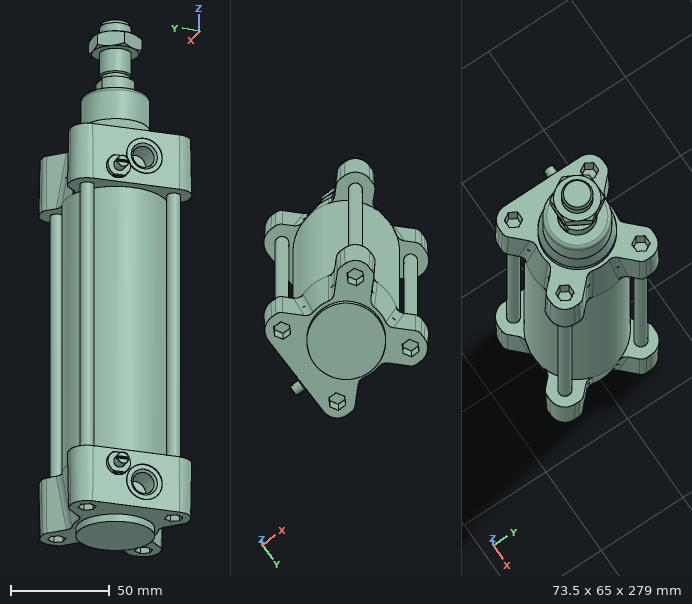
import cadquery as cq
import math

pilot_height = 4.0
cap_height = 30.0
length_over_caps = 206.0
rod_reach = 37.0
thread_length = 32.0

lower_face = pilot_height
upper_face = lower_face + length_over_caps
rod_shoulder = upper_face + rod_reach
rod_top = rod_shoulder + thread_length
mid_height = (lower_face + upper_face) / 2

cap_width = 65.0
cap_draft = 1.0
half_width = cap_width / 2
bolt_spacing = 46.5
bolt_offset = bolt_spacing / 2
corner_radius = half_width - bolt_offset
arm_wall_offset = 14.0
arm_edge_radius = 5.0
waist_fillet_radius = 5.0
tube_diameter = 54.0
waist_outer_diameter = 44.0
socket_width = 8.0
socket_depth = 12.0
socket_corner_diameter = socket_width / math.cos(math.pi / 6)
pilot_diameter = 40.0

tie_rod_diameter = 7.1

port_height = 14.0
port_offset = -4.5
port_recess_diameter = 19.0
port_recess_depth = 0.7
port_mouth_diameter = 14.0
port_diameter = 11.4
port_chamfer = (port_mouth_diameter - port_diameter) / 2
port_depth = 15.0
screw_height = 22.0
screw_offset = 10.0
collar_diameter = 12.0
collar_length = 2.5
collar_flats_width = 10.5
collar_flats_length = 1.7
screw_diameter = 6.0
screw_length = 8.5
slot_width = 1.2
slot_depth = 1.5
side_overlap = 1.0

bush_diameter = 35.0
bush_height = 28.5
bush_edge_radius = 2.0
bush_base_height = 4.0
bush_cone_height = 6.8

rod_diameter = 20.0
thread_diameter = 16.0
thread_chamfer = 1.0
thread_chamfer_height = 2.0
undercut_diameter = 14.5
undercut_height = 3.0
undercut_chamfer = (thread_diameter - undercut_diameter) / 2
flats_width = 17.6
flats_height = 7.0

nut_width = 24.0
nut_height = 8.0
nut_bottom = 263.0
nut_corner_diameter = nut_width / math.cos(math.pi / 6)
nut_chamfer_diameter = 24.0
nut_chamfer_width = (nut_corner_diameter - nut_chamfer_diameter) / 2
nut_chamfer_height = nut_chamfer_width * math.tan(math.pi / 6)


def cylinder(diameter, bottom, top):
    """Upright cylinder on the Z axis."""
    return cq.Workplane("XY").workplane(offset=bottom).circle(diameter / 2).extrude(top - bottom)


def side_cylinder(diameter, y, height, depth, reach):
    """Cylinder along X, from depth inside the -X cap side to reach outside it."""
    start = cq.Workplane("YZ", origin=(-half_width - reach, y, cap_height - height))
    return start.circle(diameter / 2).extrude(depth + reach)


def arm_notch():
    """45 degree V between the two arms on the +Y side."""
    beyond = half_width + arm_edge_radius
    half_mouth = beyond - arm_wall_offset
    return (
        cq.Workplane("XY")
        .polyline([(0, arm_wall_offset), (half_mouth, beyond), (-half_mouth, beyond)])
        .close()
        .extrude(cap_height)
    )


def is_waist_edge(edge):
    """Curved edge that climbs the whole cap where an arm wall meets the core cone."""
    return edge.geomType() != "LINE" and edge.BoundingBox().zlen > cap_height / 2


def make_cap():
    """End cap with its tube face at Z = 0 and its outer face up at cap_height."""
    blank = cq.Workplane("XY").rect(cap_width, cap_width).extrude(cap_height)
    blank = blank.edges("|Z").fillet(corner_radius)
    notch_angles = (0, 180, -90)
    for angle in notch_angles:
        blank = blank.cut(arm_notch().rotate((0, 0, 0), (0, 0, 1), angle))

    mouth = half_width - arm_wall_offset
    arm_edges = [(s * mouth, t * half_width) for s in (1, -1) for t in (1, -1)]
    arm_edges += [(half_width, s * mouth) for s in (1, -1)]
    for x, y in arm_edges:
        nearest = cq.selectors.NearestToPointSelector((x, y, cap_height / 2))
        blank = blank.edges(nearest).fillet(arm_edge_radius)

    outline = blank.faces("<Z").wires().val()
    cap = cq.Workplane("XY").newObject([outline]).toPending().extrude(cap_height, taper=cap_draft)

    core = cq.Workplane("XY").circle(tube_diameter / 2)
    core = core.workplane(offset=cap_height).circle(waist_outer_diameter / 2).loft(ruled=True)
    cap = cap.union(core)
    waist_edges = [edge for edge in cap.edges().vals() if is_waist_edge(edge)]
    cap = cap.newObject(waist_edges).fillet(waist_fillet_radius)

    sockets = (
        cq.Workplane("XY")
        .workplane(offset=cap_height - socket_depth)
        .rect(bolt_spacing, bolt_spacing, forConstruction=True)
        .vertices()
        .polygon(6, socket_corner_diameter)
        .extrude(socket_depth)
    )
    return cap.cut(sockets)


def make_port():
    """Port cutter: shallow recess, chamfered mouth and blind bore."""
    recess = side_cylinder(port_recess_diameter, port_offset, port_height, port_recess_depth, side_overlap)
    bore = side_cylinder(port_diameter, port_offset, port_height, port_depth, 0)
    mouth_start = (-half_width + port_recess_depth, port_offset, cap_height - port_height)
    mouth = (
        cq.Workplane("YZ", origin=mouth_start)
        .circle(port_mouth_diameter / 2)
        .workplane(offset=port_chamfer)
        .circle(port_diameter / 2)
        .loft()
    )
    return recess.union(bore).union(mouth)


def make_cushion_screw():
    """Collar with two flats and a slotted screw head, standing on the cap side."""
    collar = side_cylinder(collar_diameter, screw_offset, screw_height, side_overlap, collar_length)
    screw = side_cylinder(screw_diameter, screw_offset, screw_height, side_overlap, screw_length)
    screw_z = cap_height - screw_height
    tip_start = cq.Workplane("YZ", origin=(-half_width - collar_length, screw_offset, screw_z))
    between_flats = tip_start.rect(collar_diameter, collar_flats_width).extrude(collar_flats_length)
    tip = tip_start.rect(collar_diameter, collar_diameter).extrude(collar_flats_length)
    slot = cq.Workplane("XY").box(slot_depth, screw_diameter, slot_width, centered=(False, True, True))
    slot = slot.translate((-half_width - screw_length, screw_offset, screw_z))
    return collar.cut(tip.cut(between_flats)).union(screw).cut(slot)


def make_bush():
    """Rod bush on the upper cap: wide base, cone and barrel with a rounded rim."""
    base_top = upper_face + bush_base_height
    cone_top = base_top + bush_cone_height
    bush_top = upper_face + bush_height
    return (
        cq.Workplane("XZ")
        .moveTo(0, upper_face)
        .lineTo(pilot_diameter / 2, upper_face)
        .lineTo(pilot_diameter / 2, base_top)
        .lineTo(bush_diameter / 2, cone_top)
        .lineTo(bush_diameter / 2, bush_top - bush_edge_radius)
        .radiusArc((bush_diameter / 2 - bush_edge_radius, bush_top), -bush_edge_radius)
        .lineTo(0, bush_top)
        .close()
        .revolve(360, (0, 0, 0), (0, 1, 0))
    )


def make_housing():
    """Caps, tube, tie rods, bush and cushion screws as one body."""
    end = make_cap().cut(make_port()).union(make_cushion_screw())
    tube_bottom = lower_face + cap_height
    tube_top = upper_face - cap_height
    upper_end = end.translate((0, 0, tube_top))
    lower_end = upper_end.mirror("XY", (0, 0, mid_height))
    tie_rods = (
        cq.Workplane("XY")
        .workplane(offset=tube_bottom)
        .rect(bolt_spacing, bolt_spacing, forConstruction=True)
        .vertices()
        .circle(tie_rod_diameter / 2)
        .extrude(tube_top - tube_bottom)
    )
    housing = cylinder(tube_diameter, tube_bottom, tube_top)
    housing = housing.union(lower_end).union(upper_end).union(tie_rods)
    housing = housing.union(cylinder(pilot_diameter, 0, lower_face)).union(make_bush())
    rod_bore = cylinder(rod_diameter, tube_top, upper_face + bush_height)
    return housing.cut(rod_bore)


def make_rod():
    """Piston rod with spanner flats, undercut and threaded end."""
    rod_bottom = upper_face - cap_height
    rod_radius = rod_diameter / 2
    undercut_radius = undercut_diameter / 2
    thread_radius = thread_diameter / 2
    undercut_top = rod_shoulder + undercut_height
    rod = (
        cq.Workplane("XZ")
        .moveTo(0, rod_bottom)
        .lineTo(rod_radius, rod_bottom)
        .lineTo(rod_radius, rod_shoulder)
        .lineTo(undercut_radius, rod_shoulder)
        .lineTo(undercut_radius, undercut_top)
        .lineTo(thread_radius, undercut_top + undercut_chamfer)
        .lineTo(thread_radius, rod_top - thread_chamfer_height)
        .lineTo(thread_radius - thread_chamfer, rod_top)
        .lineTo(0, rod_top)
        .close()
        .revolve(360, (0, 0, 0), (0, 1, 0))
    )
    for side in (1, -1):
        flat = cq.Workplane("XY").box(rod_diameter, rod_diameter, flats_height)
        flat_center_y = side * (flats_width + rod_diameter) / 2
        rod = rod.cut(flat.translate((0, flat_center_y, rod_shoulder - flats_height / 2)))
    return rod


def make_nut():
    """Hexagon lock nut with its corners on the X axis, chamfered at both ends."""
    hexagon = cq.Workplane("XY").polygon(6, nut_corner_diameter).extrude(nut_height)
    blank = cq.Workplane("XY").circle(nut_corner_diameter / 2).extrude(nut_height)
    blank = blank.faces("<Z or >Z").chamfer(nut_chamfer_height, nut_chamfer_width)
    nut = hexagon.intersect(blank).translate((0, 0, nut_bottom))
    return nut.cut(cylinder(thread_diameter, nut_bottom, nut_bottom + nut_height))


housing = make_housing()
rod = make_rod()
nut = make_nut()

result = cq.Compound.makeCompound([housing.val(), rod.val(), nut.val()])